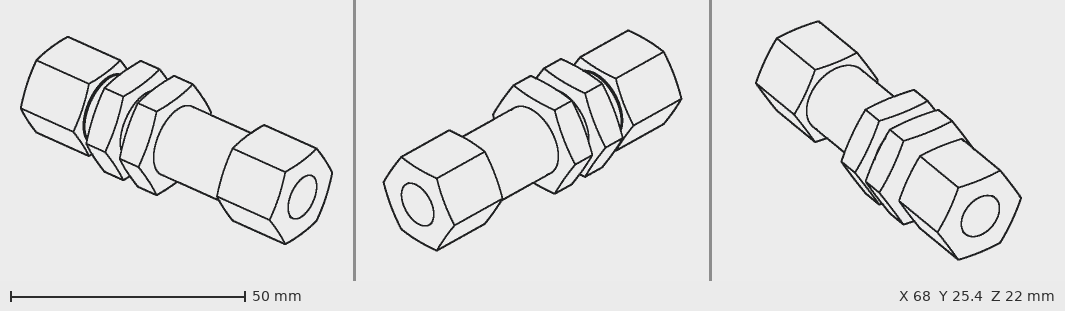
import cadquery as cq
import math


total_length = 68.0
end_nut_length = 15.0
bulkhead_hex_length = 6.0
bulkhead_hex_start = 19.0
panel_gap = 3.0

hex_sides = 6
end_nut_flats = 19.0
bulkhead_hex_flats = 22.0
hex_chamfer_angle = 15.0

body_diameter = 16.0
relief_diameter = 13.6
relief_offset = 0.4
relief_slope_angle = 60.0
relief_fillet = 1.0

through_diameter = 8.0
tube_diameter = 10.0
tube_depth = end_nut_length

lock_nut_start = bulkhead_hex_start + bulkhead_hex_length + panel_gap
right_nut_start = total_length - end_nut_length


def chamfered_hex(start, length, flats):
    """Hexagon along X with horizontal flats and a conical chamfer at both ends."""
    corner_diameter = flats / math.cos(math.pi / hex_sides)
    corner_radius = corner_diameter / 2
    face_radius = flats / 2
    chamfer_length = (corner_radius - face_radius) * math.tan(math.radians(hex_chamfer_angle))
    end = start + length
    prism = (
        cq.Workplane("YZ", origin=(start, 0, 0))
        .polygon(hex_sides, corner_diameter)
        .extrude(length)
    )
    envelope = (
        cq.Workplane("XY")
        .moveTo(start, 0)
        .lineTo(start, face_radius)
        .lineTo(start + chamfer_length, corner_radius)
        .lineTo(end - chamfer_length, corner_radius)
        .lineTo(end, face_radius)
        .lineTo(end, 0)
        .close()
        .revolve(360, (0, 0, 0), (1, 0, 0))
    )
    return prism.intersect(envelope)


def cylinder(start, length, diameter):
    """Cylinder along the X axis."""
    return cq.Workplane("YZ", origin=(start, 0, 0)).circle(diameter / 2).extrude(length)


def relief_section():
    """Neck between the left nut and the fixed hexagon, with filleted ends."""
    slope = math.radians(relief_slope_angle)
    body_radius = body_diameter / 2
    neck_radius = relief_diameter / 2
    arc_centre_radius = neck_radius + relief_fillet

    slope_start = end_nut_length + relief_offset
    slope_end_radius = arc_centre_radius - relief_fillet * math.cos(slope)
    slope_end = slope_start + (body_radius - slope_end_radius) / math.tan(slope)
    neck_start = slope_end + relief_fillet * math.sin(slope)
    neck_end = bulkhead_hex_start - relief_fillet
    left_mid = (
        neck_start - relief_fillet * math.sin(slope / 2),
        arc_centre_radius - relief_fillet * math.cos(slope / 2),
    )
    right_mid = (
        neck_end + relief_fillet * math.sin(math.pi / 4),
        arc_centre_radius - relief_fillet * math.cos(math.pi / 4),
    )
    return (
        cq.Workplane("XY")
        .moveTo(end_nut_length, 0)
        .lineTo(end_nut_length, body_radius)
        .lineTo(slope_start, body_radius)
        .lineTo(slope_end, slope_end_radius)
        .threePointArc(left_mid, (neck_start, neck_radius))
        .lineTo(neck_end, neck_radius)
        .threePointArc(right_mid, (bulkhead_hex_start, arc_centre_radius))
        .lineTo(bulkhead_hex_start, 0)
        .close()
        .revolve(360, (0, 0, 0), (1, 0, 0))
    )


left_nut = chamfered_hex(0, end_nut_length, end_nut_flats)
fixed_hex = chamfered_hex(bulkhead_hex_start, bulkhead_hex_length, bulkhead_hex_flats)
lock_nut = chamfered_hex(lock_nut_start, bulkhead_hex_length, bulkhead_hex_flats)
right_nut = chamfered_hex(right_nut_start, end_nut_length, end_nut_flats)
body = cylinder(bulkhead_hex_start, right_nut_start - bulkhead_hex_start, body_diameter)

outer = left_nut.union(relief_section()).union(fixed_hex)
outer = outer.union(body).union(lock_nut).union(right_nut)

result = outer.cut(cylinder(0, total_length, through_diameter))
for socket_start in (0, total_length - tube_depth):
    result = result.cut(cylinder(socket_start, tube_depth, tube_diameter))